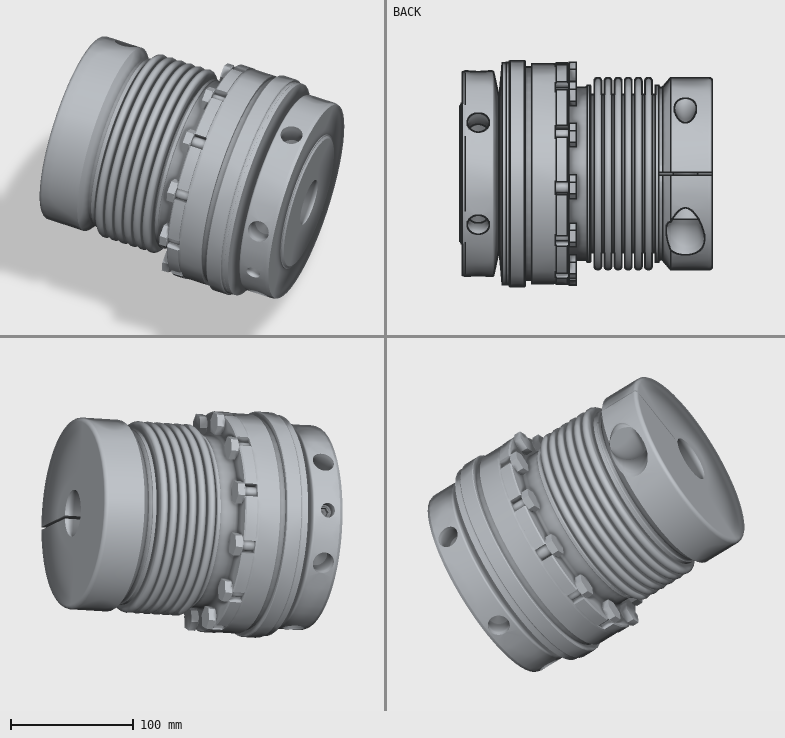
import cadquery as cq
import math

LENGTH = 207.0
BORE_D = 38.5

HUB_R = 78.7
HUB_EDGE_R = 3.1
HUB_CONE_START = 34.2
HUB_CONE_END = 40.8
SLIT_WIDTH = 2.5
CLAMP_SCREW_X = 22.2
CLAMP_SCREW_Y = 57.8
CLAMP_SHANK_D = 20.0
CLAMP_THREAD_HOLE_D = 18.0
CLAMP_HEAD_D = 30.6
CLAMP_POCKET_D = 31.5
CLAMP_SEAT_Z = 37.5
CLAMP_GRIP = 18.6

NECK_R = 70.8
COLLAR_R = 72.5
COLLAR_CHAMFER = 0.8
COLLAR_FILLET = 1.2
LEFT_COLLAR_START = 43.9
LEFT_COLLAR_END = 46.8
RIGHT_COLLAR_START = 99.5
RIGHT_COLLAR_END = 102.7
BELLOWS_ROOT_R = 130.0 / 2
WAVE_COUNT = 6
WAVE_PITCH = 8.3
WAVE_FIRST_X = 52.4
WAVE_WIDTH = 6.0

FLANGE_START = 117.8
FLANGE_FRONT_R = 90.7
FLANGE_R = 90.0
FLANGE_CHAMFER = 1.0
FLANGE_FILLET = 2.5
FLANGE_FRONT_END = 128.0
NOTCH_END = 128.8
SEAM_END = 130.2
SEAM_DEPTH = 0.5
FLANGE_END = 148.0
BOLT_COUNT = 12
BOLT_CIRCLE_R = 82.4
BOLT_START_ANGLE = 7.5
BOLT_HEAD_CORNERS_D = 19.5
BOLT_HEAD_START = 111.4
BOLT_WASHER_D = 17.4
BOLT_WASHER_THICKNESS = 0.6
BOLT_SHANK_D = 10.0
NOTCH_WIDTH = 10.8

GROOVE_R = 87.4
RING_START = 153.4
RING_R = 92.5
RING_CHAMFER = 0.6
RING_END = 166.2
DISC_R = 91.0
DISC_SEAM = 169.0
DISC_SEAM_STEP = 0.2
DISC_END = 172.0
DISH_END = 174.5
WAIST_R = 64.2

NUT_START = 175.0
NUT_CONE_END = 179.0
NUT_CONE_R = 82.8
NUT_EDGE_R = 83.2
NUT_LAND_START = 180.5
NUT_R = 84.0
NUT_LAND_END = 202.2
NUT_END = 204.7
END_COLLAR_R = 115.0 / 2
END_COLLAR_STEP_X = 205.5
END_COLLAR_STEP = 1.0
END_FACE_R = 110.0 / 2
SPANNER_HOLE_COUNT = 6
SPANNER_HOLE_X = 191.7
SPANNER_HOLE_D = 18.0
SPANNER_HOLE_FLOOR_R = 65.2
DRILL_TIP_ANGLE = 118.0
SET_SCREW_HOLE_D = 12.0
SET_SCREW_FACE_R = 74.5
SET_SCREW_RIM_D = 10.0
SET_SCREW_RIM_FLOOR_D = 8.5
SET_SCREW_RIM_DEPTH = 0.6
SET_SCREW_SOCKET_D = 8.0
SET_SCREW_SOCKET_DEPTH = 4.1
SET_SCREW_PIT_D = 3.5

ROUND_MIDDLE = 1 - math.sqrt(0.5)


def round_up_to_wall(outline, wall_x, radius):
    """Run along the neck to a wall on its right and turn up it with a concave round."""
    offset = radius * ROUND_MIDDLE
    return outline.lineTo(wall_x - radius, NECK_R).threePointArc(
        (wall_x - offset, NECK_R + offset), (wall_x, NECK_R + radius)
    )


def round_down_to_neck(outline, wall_x, radius):
    """Run down a wall and turn right onto the neck with a concave round."""
    offset = radius * ROUND_MIDDLE
    return outline.lineTo(wall_x, NECK_R + radius).threePointArc(
        (wall_x + offset, NECK_R + offset), (wall_x + radius, NECK_R)
    )


def wave_outline(outline, centre_x):
    """Add one bellows wave: straight flanks with a fully rounded crest."""
    half = WAVE_WIDTH / 2
    flank_top = HUB_R - half
    return (
        outline.lineTo(centre_x - half, BELLOWS_ROOT_R)
        .lineTo(centre_x - half, flank_top)
        .threePointArc((centre_x, HUB_R), (centre_x + half, flank_top))
        .lineTo(centre_x + half, BELLOWS_ROOT_R)
    )


def turned_body():
    """Revolve the half outline, bore excluded, about X."""
    edge_offset = HUB_EDGE_R * ROUND_MIDDLE
    outline = (
        cq.Workplane("XY")
        .moveTo(0, 0)
        .lineTo(0, HUB_R - HUB_EDGE_R)
        .threePointArc((edge_offset, HUB_R - edge_offset), (HUB_EDGE_R, HUB_R))
        .lineTo(HUB_CONE_START, HUB_R)
        .lineTo(HUB_CONE_END, NECK_R)
    )
    outline = (
        round_up_to_wall(outline, LEFT_COLLAR_START, COLLAR_FILLET)
        .lineTo(LEFT_COLLAR_START, COLLAR_R)
        .lineTo(LEFT_COLLAR_END, COLLAR_R)
        .lineTo(LEFT_COLLAR_END, BELLOWS_ROOT_R)
    )
    for i in range(WAVE_COUNT):
        outline = wave_outline(outline, WAVE_FIRST_X + i * WAVE_PITCH)
    outline = (
        outline.lineTo(RIGHT_COLLAR_START, BELLOWS_ROOT_R)
        .lineTo(RIGHT_COLLAR_START, COLLAR_R - COLLAR_CHAMFER)
        .lineTo(RIGHT_COLLAR_START + COLLAR_CHAMFER, COLLAR_R)
        .lineTo(RIGHT_COLLAR_END, COLLAR_R)
    )
    outline = round_down_to_neck(outline, RIGHT_COLLAR_END, COLLAR_FILLET)
    outline = (
        round_up_to_wall(outline, FLANGE_START, FLANGE_FILLET)
        .lineTo(FLANGE_START, FLANGE_FRONT_R - FLANGE_CHAMFER)
        .lineTo(FLANGE_START + FLANGE_CHAMFER, FLANGE_FRONT_R)
        .lineTo(FLANGE_FRONT_END, FLANGE_FRONT_R)
        .lineTo(FLANGE_FRONT_END, FLANGE_R - SEAM_DEPTH)
        .lineTo(SEAM_END, FLANGE_R)
        .lineTo(FLANGE_END, FLANGE_R)
        .lineTo(FLANGE_END, GROOVE_R)
        .lineTo(RING_START, GROOVE_R)
        .lineTo(RING_START, RING_R - RING_CHAMFER)
        .lineTo(RING_START + RING_CHAMFER, RING_R)
        .lineTo(RING_END - RING_CHAMFER, RING_R)
        .lineTo(RING_END, RING_R - RING_CHAMFER)
        .lineTo(RING_END, DISC_R)
        .lineTo(DISC_SEAM, DISC_R)
        .lineTo(DISC_SEAM, DISC_R - DISC_SEAM_STEP)
        .lineTo(DISC_END, DISC_R - DISC_SEAM_STEP)
        .lineTo(DISH_END, WAIST_R)
        .lineTo(NUT_START, WAIST_R)
        .lineTo(NUT_CONE_END, NUT_CONE_R)
        .tangentArcPoint((NUT_LAND_START, NUT_R), relative=False)
        .lineTo(NUT_LAND_END, NUT_R)
        .lineTo(NUT_END, NUT_EDGE_R)
        .lineTo(NUT_END, END_COLLAR_R)
        .lineTo(END_COLLAR_STEP_X, END_COLLAR_R)
        .lineTo(END_COLLAR_STEP_X, END_COLLAR_R - END_COLLAR_STEP)
        .lineTo(LENGTH, END_FACE_R)
        .lineTo(LENGTH, 0)
        .close()
    )
    return outline.revolve(360, (0, 0, 0), (1, 0, 0))


def x_cylinder(diameter, start, end, z=0.0):
    """Cylinder along X, its axis at height z."""
    return cq.Workplane("YZ", origin=(start, 0, z)).circle(diameter / 2).extrude(end - start)


def z_cylinder(diameter, bottom, top):
    """Cylinder on the clamp screw axis."""
    plane = cq.Workplane("XY", origin=(CLAMP_SCREW_X, CLAMP_SCREW_Y, bottom))
    return plane.circle(diameter / 2).extrude(top - bottom)


def around_axis(feature, count, start_angle):
    """Copies of a feature evenly spaced about X; positive angles lead from +Z to +Y."""
    step = 360 / count
    copies = [
        feature.rotate((0, 0, 0), (1, 0, 0), -(start_angle + i * step)).val()
        for i in range(count)
    ]
    return cq.Workplane("XY").newObject([cq.Compound.makeCompound(copies)])


def bolt_notches():
    """Round-bottomed notches that open through the rim of the flange."""
    notch = (
        x_cylinder(NOTCH_WIDTH, FLANGE_START, NOTCH_END, z=BOLT_CIRCLE_R)
        .union(
            cq.Workplane("XY", origin=(FLANGE_START, 0, BOLT_CIRCLE_R))
            .box(
                NOTCH_END - FLANGE_START,
                NOTCH_WIDTH,
                RING_R - BOLT_CIRCLE_R,
                centered=(False, True, False),
            )
        )
    )
    return around_axis(notch, BOLT_COUNT, BOLT_START_ANGLE)


def flange_bolts():
    """Hexagon bolts: washer faces sit on the flange, shanks cross the notches.

    All heads are parallel, so their corners and flats point outwards alternately.
    """
    washer_start = FLANGE_START - BOLT_WASHER_THICKNESS
    stem = x_cylinder(BOLT_SHANK_D, FLANGE_START, NOTCH_END, z=BOLT_CIRCLE_R).union(
        x_cylinder(BOLT_WASHER_D, washer_start, FLANGE_START, z=BOLT_CIRCLE_R)
    )
    flat_out_head = (
        cq.Workplane("YZ", origin=(BOLT_HEAD_START, 0, BOLT_CIRCLE_R))
        .polygon(6, BOLT_HEAD_CORNERS_D)
        .extrude(washer_start - BOLT_HEAD_START)
    )
    corner_out_head = flat_out_head.rotate((0, 0, BOLT_CIRCLE_R), (1, 0, BOLT_CIRCLE_R), 30)
    half_count = BOLT_COUNT // 2
    second_angle = BOLT_START_ANGLE + 360 / BOLT_COUNT
    return [
        around_axis(stem.union(corner_out_head), half_count, BOLT_START_ANGLE),
        around_axis(stem.union(flat_out_head), half_count, second_angle),
    ]


def clamp_slit():
    """Saw cut from the bore out through the +Y side of the hub, ending at the collar."""
    return cq.Workplane("XY").box(
        LEFT_COLLAR_START, HUB_R, SLIT_WIDTH, centered=(False, False, True)
    )


def drill_tip_height(diameter):
    return diameter / 2 / math.tan(math.radians(DRILL_TIP_ANGLE / 2))


def spanner_holes():
    """Blind radial holes with drilled tips around the nut."""
    radius = SPANNER_HOLE_D / 2
    hole = (
        cq.Workplane("XZ", origin=(SPANNER_HOLE_X, 0, 0))
        .moveTo(0, SPANNER_HOLE_FLOOR_R - drill_tip_height(SPANNER_HOLE_D))
        .lineTo(radius, SPANNER_HOLE_FLOOR_R)
        .lineTo(radius, RING_R)
        .lineTo(0, RING_R)
        .close()
        .revolve(360, (0, 0, 0), (0, 1, 0))
    )
    return around_axis(hole, SPANNER_HOLE_COUNT, 0)


def set_screw_hole():
    """Radial hole on the -Y side with a sunken set screw: rim, hexagon socket, drilled pit."""
    socket_top = SET_SCREW_FACE_R - SET_SCREW_RIM_DEPTH
    socket_floor = socket_top - SET_SCREW_SOCKET_DEPTH
    hole_and_rim = (
        cq.Workplane("XY", origin=(SPANNER_HOLE_X, 0, 0))
        .moveTo(0, -socket_top)
        .lineTo(SET_SCREW_RIM_FLOOR_D / 2, -socket_top)
        .lineTo(SET_SCREW_RIM_D / 2, -SET_SCREW_FACE_R)
        .lineTo(SET_SCREW_HOLE_D / 2, -SET_SCREW_FACE_R)
        .lineTo(SET_SCREW_HOLE_D / 2, -RING_R)
        .lineTo(0, -RING_R)
        .close()
        .revolve(360, (0, 0, 0), (0, 1, 0))
    )
    socket = (
        cq.Workplane("XZ", origin=(SPANNER_HOLE_X, -socket_top, 0))
        .polygon(6, SET_SCREW_SOCKET_D)
        .extrude(-SET_SCREW_SOCKET_DEPTH)
    )
    pit = (
        cq.Workplane("XY", origin=(SPANNER_HOLE_X, -socket_floor, 0))
        .lineTo(SET_SCREW_PIT_D / 2, 0)
        .lineTo(0, drill_tip_height(SET_SCREW_PIT_D))
        .close()
        .revolve(360, (0, 0, 0), (0, 1, 0))
    )
    return hole_and_rim.union(socket).union(pit)


body = turned_body()
body = body.cut(x_cylinder(BORE_D, 0, LENGTH))
body = body.cut(clamp_slit())

body = body.cut(z_cylinder(CLAMP_THREAD_HOLE_D, CLAMP_SEAT_Z, HUB_R))
body = body.cut(z_cylinder(CLAMP_POCKET_D, -HUB_R, -CLAMP_GRIP))
body = body.union(z_cylinder(CLAMP_HEAD_D, -CLAMP_SEAT_Z, -CLAMP_GRIP))
body = body.union(z_cylinder(CLAMP_SHANK_D, -CLAMP_GRIP, CLAMP_GRIP))

body = body.cut(bolt_notches())
for bolts in flange_bolts():
    body = body.union(bolts)

body = body.cut(spanner_holes())
body = body.cut(set_screw_hole())

result = body